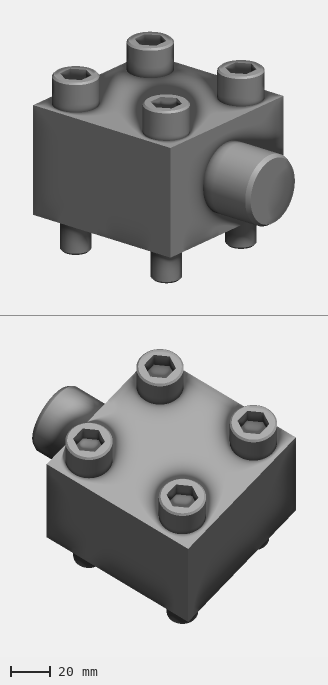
import cadquery as cq
import math

block_side = 90.0
block_height = 60.0

stub_diameter = 38.0
stub_length = 30.0
stub_bevel_length = 2.4
stub_bevel_depth = 1.5

spigot_diameter = 63.0
spigot_height = 4.0

bolt_circle_diameter = 84.0
head_diameter = 24.0
head_height = 16.0
head_chamfer = 1.0
shank_diameter = 16.0
shank_projection = 20.0
shank_chamfer = 1.2
socket_across_flats = 14.0
socket_depth = 8.0
socket_turn = 30.0


def make_block():
    return cq.Workplane("XY").box(block_side, block_side, block_height, centered=(True, True, False))


def make_stub():
    stub = (
        cq.Workplane("YZ", origin=(block_side / 2, 0, block_height / 2))
        .circle(stub_diameter / 2)
        .extrude(stub_length)
    )
    return stub.faces(">X").edges().chamfer(stub_bevel_length, stub_bevel_depth)


def make_spigot():
    return cq.Workplane("XY").circle(spigot_diameter / 2).extrude(-spigot_height)


def make_screw(x, y):
    head = (
        cq.Workplane("XY", origin=(x, y, block_height))
        .circle(head_diameter / 2)
        .extrude(head_height)
        .faces(">Z").edges().chamfer(head_chamfer)
    )
    across_corners = socket_across_flats / math.cos(math.pi / 6)
    socket = (
        cq.Workplane("XY", origin=(x, y, block_height + head_height))
        .transformed(rotate=(0, 0, socket_turn))
        .polygon(6, across_corners)
        .extrude(-socket_depth)
    )
    shank = (
        cq.Workplane("XY", origin=(x, y, 0))
        .circle(shank_diameter / 2)
        .extrude(-shank_projection)
        .faces("<Z").edges().chamfer(shank_chamfer)
    )
    return head.cut(socket), shank


result = make_block().union(make_stub()).union(make_spigot())
bolt_offset = bolt_circle_diameter / 2 / math.sqrt(2)
for x_side in (-1, 1):
    for y_side in (-1, 1):
        screw_head, screw_shank = make_screw(x_side * bolt_offset, y_side * bolt_offset)
        result = result.union(screw_head).union(screw_shank)